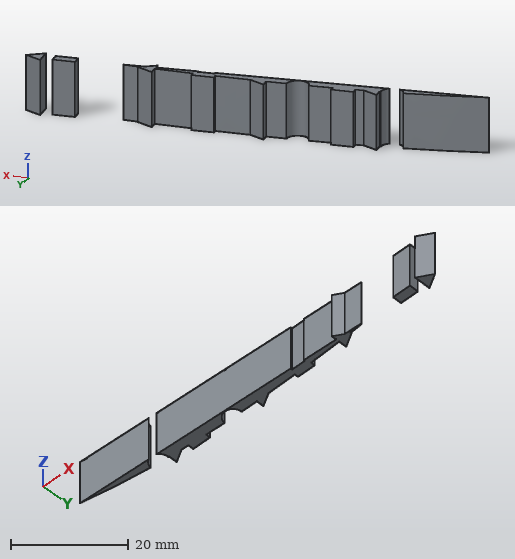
import cadquery as cq
import math

overall_length = 82
width = 10.0
chord = 64.6
trailing_edge_bottom = 2.4
trailing_edge_thickness = 0.2
upper_surface_points = [(5.8, 1.1), (12.8, 2.05), (22.1, 2.9), (29.5, 3.3), (37.7, 3.45), (45.9, 3.4), (54.7, 3.1)]

channel_radius = 2.0
nose_channel_center = (16.65, 2.4)
middle_channel_center = (33.2, 3.4)

triangle_radius = 2.05
triangle_side = triangle_radius * math.sqrt(3)
triangle_height = 1.5 * triangle_radius
tooth_bases = [(18.8, 2.6), (38.8, 3.3), (58.9, 2.9)]

block_length = 4.0
block_height = 2.0
block_centers = [(25.0, 3.1), (49.9, 3.1)]

slot_length = 3.0
slot_top_y = 2.1

loose_block_center = (74.95, 2.6)
loose_triangle_base = (overall_length - triangle_height, 2.6)


def triangular_prism(base):
    x, y = base
    half_side = triangle_side / 2
    corners = [(x, y - half_side), (x + triangle_height, y), (x, y + half_side)]
    return cq.Workplane("XY").polyline(corners).close().extrude(width)


def rectangular_block(center):
    return cq.Workplane("XY").center(*center).rect(block_length, block_height).extrude(width)


def channel_cutter(center):
    return cq.Workplane("XY").center(*center).circle(channel_radius).extrude(width)


def wing_blank():
    """Curved upper surface over a straight lower surface, with a thin blunt trailing edge."""
    trailing_edge_top = (chord, trailing_edge_bottom + trailing_edge_thickness)
    return (
        cq.Workplane("XY")
        .spline(upper_surface_points + [trailing_edge_top], includeCurrent=True)
        .lineTo(chord, trailing_edge_bottom)
        .close()
        .extrude(width)
    )


def slot_cutter():
    slot_x = block_centers[1][0]
    return (
        cq.Workplane("XY")
        .center(slot_x, slot_top_y / 2)
        .rect(slot_length, slot_top_y)
        .extrude(width)
    )


def nose_region():
    """Oversized block whose +X face lies at the middle of the nose channel."""
    return cq.Workplane("XY").rect(2 * nose_channel_center[0], chord).extrude(width)


def make_nose():
    return wing_blank().intersect(nose_region()).cut(channel_cutter(nose_channel_center))


def make_main_section():
    section = wing_blank().cut(nose_region())
    for center in (nose_channel_center, middle_channel_center):
        section = section.cut(channel_cutter(center))
    for base in tooth_bases:
        section = section.union(triangular_prism(base))
    for center in block_centers:
        section = section.union(rectangular_block(center))
    return section.cut(slot_cutter())


nose = make_nose()
main_section = make_main_section()
loose_block = rectangular_block(loose_block_center)
loose_triangle = triangular_prism(loose_triangle_base)

result = cq.Compound.makeCompound([
    *nose.vals(),
    *main_section.vals(),
    loose_block.val(),
    loose_triangle.val(),
])